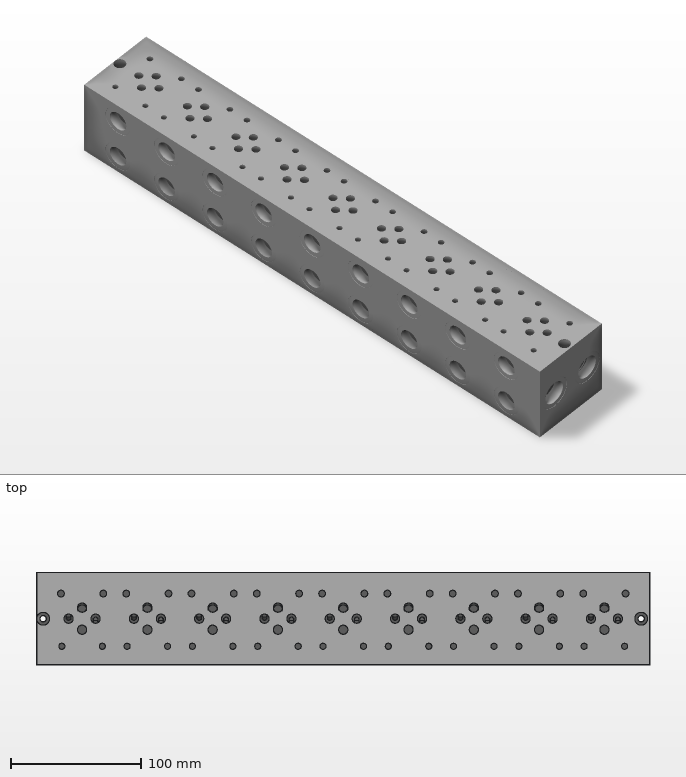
import cadquery as cq

LENGTH = 470.0
WIDTH = 71.0
HEIGHT = 70.5
FRONT = -WIDTH / 2

STATION_COUNT = 9
STATION_END_MARGIN = 35.0
FIRST_STATION = STATION_END_MARGIN - LENGTH / 2
STATION_PITCH = (LENGTH - 2 * STATION_END_MARGIN) / (STATION_COUNT - 1)
STATIONS = [FIRST_STATION + i * STATION_PITCH for i in range(STATION_COUNT)]

SPOTFACE_DEPTH = 0.25

WORK_PORT_DIAMETER = 17.0
WORK_SPOTFACE_DIAMETER = 25.5
WORK_PORT_DEPTH = 8.5
WORK_PORT_HEIGHTS = (16.5, 54.0)

SUPPLY_PORT_DIAMETER = 20.0
SUPPLY_SPOTFACE_DIAMETER = 28.5
SUPPLY_PORT_DEPTH = 9.0
SUPPLY_PORT_OFFSET = 19.0
SUPPLY_PORT_HEIGHT = 35.5
SUPPLY_RECESS_SHIFT = 1.5
SUPPLY_RECESS_DEPTH = 1.0

PASSAGE_DIAMETER = 7.0
PASSAGE_DEPTH = 15.0
SIDE_PASSAGE_OFFSET = 10.5
FRONT_PASSAGE_Y = -8.5
REAR_PASSAGE_Y = 8.5
REAR_STEP_SHIFT = 1.5
REAR_STEP_DEPTH = 3.8

BRANCH_DIAMETER = 3.8
BRANCH_START_OFFSET = 1.5

REAR_SCREW_DIAMETER = 5.0
FRONT_SCREW_DIAMETER = 4.5
SCREW_DEPTH = 12.0
REAR_SCREW_Y = 19.5
REAR_SCREW_SPACING = 32.5
FRONT_SCREW_Y = -21.0
FRONT_SCREW_SPACING = 31.0

FIXING_DIAMETER = 4.5
FIXING_HEAD_DIAMETER = 10.0
FIXING_HEAD_DEPTH = 10.5
LEFT_FIXING_INSET = FIXING_HEAD_DIAMETER / 2
RIGHT_FIXING_INSET = 6.5


def cylinder(diameter, depth, start, direction):
    """Cylinder of the given depth running from start along direction."""
    return cq.Solid.makeCylinder(diameter / 2, depth, cq.Vector(*start), cq.Vector(*direction))


def drill_down(diameter, depth, x, y, z=HEIGHT):
    """Vertical hole sunk from height z, by default the top face."""
    return cylinder(diameter, depth, (x, y, z), (0, 0, -1))


def work_ports(x):
    """Upper and lower ports in the front face."""
    cuts = []
    for z in WORK_PORT_HEIGHTS:
        mouth = (x, FRONT, z)
        cuts.append(cylinder(WORK_SPOTFACE_DIAMETER, SPOTFACE_DEPTH, mouth, (0, 1, 0)))
        cuts.append(cylinder(WORK_PORT_DIAMETER, WORK_PORT_DEPTH, mouth, (0, 1, 0)))
    return cuts


def valve_passages(x):
    """Diamond of four passages; the side ones branch obliquely towards the supply ports' level."""
    floor = HEIGHT - PASSAGE_DEPTH
    step_y = REAR_PASSAGE_Y - REAR_STEP_SHIFT
    cuts = [
        drill_down(PASSAGE_DIAMETER, PASSAGE_DEPTH, x, FRONT_PASSAGE_Y),
        drill_down(PASSAGE_DIAMETER, PASSAGE_DEPTH, x, REAR_PASSAGE_Y),
        drill_down(PASSAGE_DIAMETER, REAR_STEP_DEPTH, x, step_y, floor),
    ]
    for side in (-1, 1):
        passage_x = x + side * SIDE_PASSAGE_OFFSET
        cuts.append(drill_down(PASSAGE_DIAMETER, PASSAGE_DEPTH, passage_x, 0))
        branch_start = cq.Vector(passage_x, -side * BRANCH_START_OFFSET, floor)
        branch_end = cq.Vector(passage_x, side * SUPPLY_PORT_OFFSET, SUPPLY_PORT_HEIGHT)
        branch = branch_end - branch_start
        cuts.append(cylinder(BRANCH_DIAMETER, branch.Length, branch_start.toTuple(), branch.toTuple()))
    return cuts


def valve_screws(x):
    """Four screw holes, the front pair closer together than the rear pair."""
    cuts = []
    for side in (-1, 1):
        rear_x = x + side * REAR_SCREW_SPACING / 2
        front_x = x + side * FRONT_SCREW_SPACING / 2
        cuts.append(drill_down(REAR_SCREW_DIAMETER, SCREW_DEPTH, rear_x, REAR_SCREW_Y))
        cuts.append(drill_down(FRONT_SCREW_DIAMETER, SCREW_DEPTH, front_x, FRONT_SCREW_Y))
    return cuts


def supply_ports(end):
    """Pair of ports in one end face; end is -1 for the left end and 1 for the right."""
    cuts = []
    face = end * LENGTH / 2
    inward = (-end, 0, 0)
    for side in (-1, 1):
        recess_y = side * (SUPPLY_PORT_OFFSET - SUPPLY_RECESS_SHIFT)
        mouth = (face, side * SUPPLY_PORT_OFFSET, SUPPLY_PORT_HEIGHT)
        recess_start = (face - end * SUPPLY_PORT_DEPTH, recess_y, SUPPLY_PORT_HEIGHT)
        cuts.append(cylinder(SUPPLY_SPOTFACE_DIAMETER, SPOTFACE_DEPTH, mouth, inward))
        cuts.append(cylinder(SUPPLY_PORT_DIAMETER, SUPPLY_PORT_DEPTH, mouth, inward))
        cuts.append(cylinder(SUPPLY_PORT_DIAMETER, SUPPLY_RECESS_DEPTH, recess_start, inward))
    return cuts


def fixing_hole(x):
    """Counterbored hole from the top face through to the base."""
    return [
        drill_down(FIXING_DIAMETER, HEIGHT, x, 0),
        drill_down(FIXING_HEAD_DIAMETER, FIXING_HEAD_DEPTH, x, 0),
    ]


cuts = fixing_hole(LEFT_FIXING_INSET - LENGTH / 2) + fixing_hole(LENGTH / 2 - RIGHT_FIXING_INSET)
for station in STATIONS:
    cuts += work_ports(station) + valve_passages(station) + valve_screws(station)
for end in (-1, 1):
    cuts += supply_ports(end)

block = cq.Workplane("XY").box(LENGTH, WIDTH, HEIGHT, centered=(True, True, False))
result = cq.Workplane(block.val().cut(*cuts))